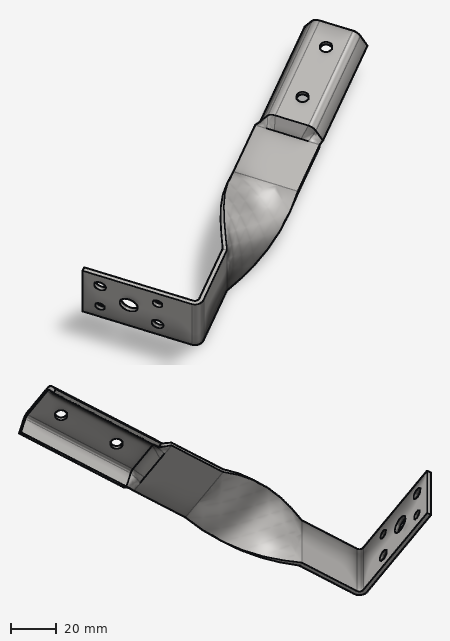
import cadquery as cq
import math

thickness = 2.0
width = 30.1
axis_x = 53.98
bend_outer = 4.0
bend_inner = bend_outer - thickness

twist_start = 32.8
twist_end = 83.1
transition_start = 110.0
channel_start = 115.1
strap_end = 170.0

hole_center_x = 21.6
hole_offset_x = 13.5
hole_offset_z = 7.5
center_hole = 8.3
large_hole = 5.5
small_hole = 4.5

channel_top = 5.1
channel_flat = 7.74
flange_angle = math.radians(60)
flange_length = 6.8
channel_hole = 5.5
channel_hole_ys = (128.7, 157.6)


def section_plane(y):
    """XZ plane at station y, centred on the strap; its normal is -Y."""
    return cq.Workplane("XZ", origin=(axis_x, y, 0))


def angle_bracket():
    """Mounting flange and upright leg joined by one rounded bend."""
    outer_x = axis_x + thickness / 2
    inner_x = outer_x - thickness
    bend_x = outer_x - bend_outer
    mid = math.sqrt(0.5)
    bracket = (
        cq.Workplane("XY")
        .moveTo(0, 0)
        .lineTo(bend_x, 0)
        .threePointArc((bend_x + bend_outer * mid, bend_outer * (1 - mid)), (outer_x, bend_outer))
        .lineTo(outer_x, twist_start)
        .lineTo(inner_x, twist_start)
        .lineTo(inner_x, bend_outer)
        .threePointArc((bend_x + bend_inner * mid, bend_outer - bend_inner * mid), (bend_x, thickness))
        .lineTo(0, thickness)
        .close()
        .extrude(width / 2, both=True)
    )
    holes = [(0, 0, center_hole)]
    for side in (-1, 1):
        holes.append((side * hole_offset_x, -side * hole_offset_z, large_hole))
        holes.append((side * hole_offset_x, side * hole_offset_z, small_hole))
    for dx, z, diameter in holes:
        cutter = (
            cq.Workplane("XZ")
            .center(hole_center_x + dx, z)
            .circle(diameter / 2)
            .extrude(-thickness)
        )
        bracket = bracket.cut(cutter)
    return bracket


def twist():
    """Quarter turn from the flat plate down to the upright leg."""
    return (
        section_plane(twist_end)
        .rect(width, thickness)
        .twistExtrude(twist_end - twist_start, -90)
    )


def flat_plate():
    return section_plane(twist_end).rect(width, thickness).extrude(twist_end - transition_start)


def on_bend(radius, angle):
    """Point on the right-hand channel bend, measured from the vertical."""
    center_z = channel_top - bend_outer
    return (channel_flat + radius * math.sin(angle), center_z + radius * math.cos(angle))


def mirrored(point):
    return (-point[0], point[1])


outer_start = on_bend(bend_outer, 0)
outer_mid = on_bend(bend_outer, flange_angle / 2)
outer_end = on_bend(bend_outer, flange_angle)
inner_start = on_bend(bend_inner, 0)
inner_mid = on_bend(bend_inner, flange_angle / 2)
inner_end = on_bend(bend_inner, flange_angle)
flange_run = flange_length * math.cos(flange_angle)
flange_drop = flange_length * math.sin(flange_angle)
outer_tip = (outer_end[0] + flange_run, outer_end[1] - flange_drop)
inner_tip = (inner_end[0] + flange_run, inner_end[1] - flange_drop)


def channel_section(plane):
    """Flat top with a bent-down flange on each side."""
    return (
        plane.moveTo(*mirrored(outer_tip))
        .lineTo(*mirrored(outer_end))
        .threePointArc(mirrored(outer_mid), mirrored(outer_start))
        .lineTo(*outer_start)
        .threePointArc(outer_mid, outer_end)
        .lineTo(*outer_tip)
        .lineTo(*inner_tip)
        .lineTo(*inner_end)
        .threePointArc(inner_mid, inner_start)
        .lineTo(*mirrored(inner_start))
        .threePointArc(mirrored(inner_mid), mirrored(inner_end))
        .lineTo(*mirrored(inner_tip))
        .close()
    )


def flattened_section(plane):
    """Plate rectangle, split into the same edges as the channel section."""
    unrolled_half = channel_flat + bend_outer * flange_angle + flange_length
    stretch = width / 2 / unrolled_half
    start_x = channel_flat * stretch
    end_x = (channel_flat + bend_outer * flange_angle) * stretch
    stations = [-width / 2, -end_x, -start_x, start_x, end_x, width / 2]
    upper = [(x, thickness / 2) for x in stations]
    lower = [(x, -thickness / 2) for x in reversed(stations)]
    return plane.polyline(upper + lower).close()


def transition():
    """Ruled blend from the flat plate to the channel section."""
    plate_wire = flattened_section(section_plane(transition_start)).val()
    channel_wire = channel_section(section_plane(channel_start)).val()
    return cq.Workplane(cq.Solid.makeLoft([plate_wire, channel_wire], True))


def make_strap():
    return angle_bracket().union(twist()).union(flat_plate()).union(transition())


def make_channel():
    channel = channel_section(section_plane(channel_start)).extrude(channel_start - strap_end)
    for y in channel_hole_ys:
        cutter = (
            cq.Workplane("XY", origin=(axis_x, y, channel_top))
            .circle(channel_hole / 2)
            .extrude(-thickness)
        )
        channel = channel.cut(cutter)
    return channel


strap = make_strap()
channel = make_channel()

result = cq.Compound.makeCompound([strap.solids().val(), channel.solids().val()])